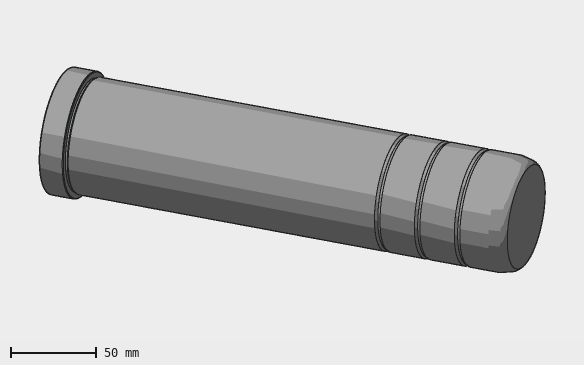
import cadquery as cq
import math

total_length = 290.0
head_diameter = 76.0
head_length = 15.0
head_chamfer = 0.5
shaft_diameter = 70.0

relief_width = 2.0
relief_depth = 1.0

groove_width = 3.5
groove_depth = 1.0
groove_count = 3
groove_pitch = 25.0
first_groove_x = 210.2

taper_start_x = 279.8
nose_start_x = 286.5
nose_start_radius = 33.4
tip_radius = 31.0

centre_mouth_diameter = 11.5
centre_bore_diameter = 6.5
centre_bore_depth = 13.0
countersink_angle = 60.0
drill_point_angle = 120.0

head_radius = head_diameter / 2
shaft_radius = shaft_diameter / 2


def cone_length(large_diameter, small_diameter, included_angle):
    """Axial length of a cone between two diameters."""
    return (large_diameter - small_diameter) / 2 / math.tan(math.radians(included_angle / 2))


def pin_body():
    """Head, relief, grooved shaft and rounded tip as one revolved profile."""
    relief_radius = shaft_radius - relief_depth
    profile = (
        cq.Workplane("XY")
        .moveTo(0, 0)
        .lineTo(0, head_radius - head_chamfer)
        .lineTo(head_chamfer, head_radius)
        .lineTo(head_length - head_chamfer, head_radius)
        .lineTo(head_length, head_radius - head_chamfer)
        .lineTo(head_length, relief_radius)
        .lineTo(head_length + relief_width - relief_depth, relief_radius)
        .lineTo(head_length + relief_width, shaft_radius)
    )
    for index in range(groove_count):
        groove_x = first_groove_x + index * groove_pitch
        profile = (
            profile.lineTo(groove_x - groove_width / 2, shaft_radius)
            .lineTo(groove_x, shaft_radius - groove_depth)
            .lineTo(groove_x + groove_width / 2, shaft_radius)
        )
    profile = (
        profile.lineTo(taper_start_x, shaft_radius)
        .lineTo(nose_start_x, nose_start_radius)
        .tangentArcPoint((total_length, tip_radius), relative=False)
        .lineTo(total_length, 0)
        .close()
    )
    return profile.revolve(360, (0, 0, 0), (1, 0, 0))


def centre_hole():
    """Countersunk blind hole on the axis, ending in a drill point."""
    bore_radius = centre_bore_diameter / 2
    countersink_depth = cone_length(centre_mouth_diameter, centre_bore_diameter, countersink_angle)
    point_length = cone_length(centre_bore_diameter, 0, drill_point_angle)
    return (
        cq.Workplane("XY")
        .moveTo(0, 0)
        .lineTo(0, centre_mouth_diameter / 2)
        .lineTo(countersink_depth, bore_radius)
        .lineTo(centre_bore_depth, bore_radius)
        .lineTo(centre_bore_depth + point_length, 0)
        .close()
        .revolve(360, (0, 0, 0), (1, 0, 0))
    )


result = pin_body().cut(centre_hole())